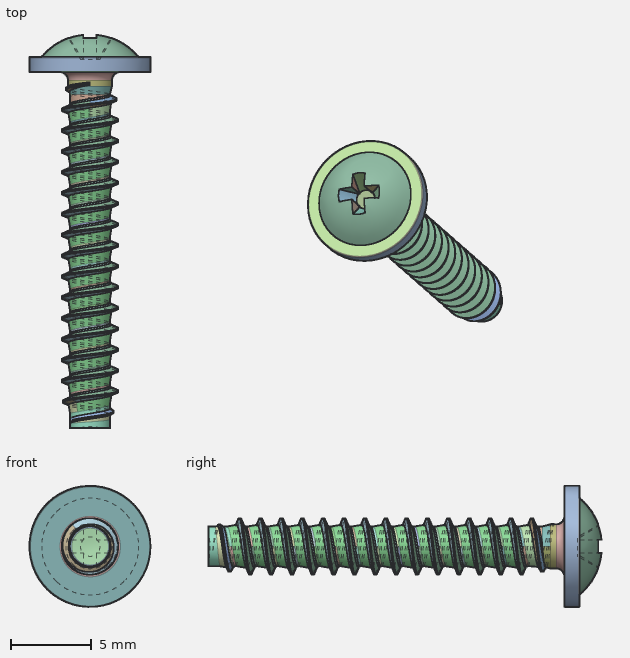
import cadquery as cq
import math


head_height = 2.31
flange_radius = 3.75
flange_thickness = 0.95
flange_edge_round = 0.06
dome_base_radius = 3.0
dome_sphere_radius = 3.91

recess_wing_width = 0.8
recess_wing_length = 1.45
recess_tip_radius = 0.6
recess_depth = 1.5

shank_length = 22.0
collar_radius = 1.37
underhead_fillet = 0.5
collar_length = 0.87
collar_taper_length = 0.5
core_radius = 1.24
tip_dimple_radius = 1.14
tip_dimple_depth = 0.1

pitch = 1.29
crest_radius = 1.75
crest_half_width = 0.05
root_radius = 1.225
lead_shoulder_radius = 1.29
lead_shoulder_offset = 0.24
lead_toe_offset = 0.39
trail_shoulder_radius = 1.34
trail_shoulder_offset = 0.21
trail_toe_offset = 0.88
thread_full_top = -2.0
thread_full_bottom = -20.2
top_fade_turns = 1.0
bottom_fade_turns = 1.2
bottom_end_crest_radius = 1.237
top_end_crest_radius = 1.41
sunk_shoulder_radius = 1.23
bottom_trail_scale = 0.25


def head():
    """Flange disc carrying a spherical dome."""
    flange = cq.Workplane("XY").circle(flange_radius).extrude(flange_thickness)
    flange = flange.faces("|Z").edges().fillet(flange_edge_round)

    center_height = flange_thickness - math.sqrt(dome_sphere_radius**2 - dome_base_radius**2)
    dome = (
        cq.Workplane("XY")
        .sphere(dome_sphere_radius)
        .translate((0, 0, center_height))
    )
    keep = (
        cq.Workplane("XY")
        .workplane(offset=flange_thickness / 2)
        .circle(dome_base_radius)
        .extrude(head_height)
    )
    return flange.union(dome.intersect(keep))


def cross_recess():
    """Four-winged recess whose wings taper inward towards the bottom."""
    wing_span = 2 * recess_wing_length
    clearance = 1.0
    floor = head_height - recess_depth
    height = recess_depth + clearance
    wing = cq.Workplane("XY").workplane(offset=floor).rect(wing_span, recess_wing_width).extrude(height)
    cross = wing.union(wing.rotate((0, 0, 0), (0, 0, 1), 90))
    taper = (
        cq.Workplane("XZ")
        .moveTo(0, floor)
        .lineTo(recess_tip_radius, floor)
        .lineTo(recess_wing_length, head_height)
        .lineTo(recess_wing_length, floor + height)
        .lineTo(0, floor + height)
        .close()
        .revolve(360, (0, 0, 0), (0, 1, 0))
    )
    return cross.intersect(taper)


def shank():
    """Core with a collar, a concave fillet under the head and a shallow conical dimple in the tip."""
    overlap = flange_thickness / 2
    fillet_radius = collar_radius + underhead_fillet
    fillet_middle = underhead_fillet * (1 - math.sqrt(0.5))
    return (
        cq.Workplane("XZ")
        .moveTo(0, overlap)
        .lineTo(fillet_radius, overlap)
        .lineTo(fillet_radius, 0)
        .threePointArc(
            (collar_radius + fillet_middle, -fillet_middle),
            (collar_radius, -underhead_fillet),
        )
        .lineTo(collar_radius, -collar_length)
        .lineTo(core_radius, -collar_length - collar_taper_length)
        .lineTo(core_radius, -shank_length)
        .lineTo(tip_dimple_radius, -shank_length)
        .lineTo(0, -shank_length + tip_dimple_depth)
        .close()
        .revolve(360, (0, 0, 0), (0, 1, 0))
    )


def full_profile():
    """Full thread corners as (radius, height above the crest line), from tip side to head side."""
    return [
        (root_radius, -trail_toe_offset),
        (trail_shoulder_radius, -trail_shoulder_offset),
        (crest_radius, -crest_half_width),
        (crest_radius, crest_half_width),
        (lead_shoulder_radius, lead_shoulder_offset),
        (root_radius, lead_toe_offset),
    ]


def faded_profile(end_crest_radius, trail_scale):
    """The same corners with sunk shoulders, a lower crest and the tip side narrowed by a factor."""
    return [
        (root_radius, -trail_toe_offset * trail_scale),
        (sunk_shoulder_radius, -trail_shoulder_offset * trail_scale),
        (end_crest_radius, -crest_half_width * trail_scale),
        (end_crest_radius, crest_half_width),
        (sunk_shoulder_radius, lead_shoulder_offset),
        (root_radius, lead_toe_offset),
    ]


def spiral(start_radius, end_radius, height, turns):
    """Helix starting at Z = 0 whose radius changes evenly over its height."""
    rise = height / turns
    if start_radius == end_radius:
        return cq.Wire.makeHelix(rise, height, start_radius)
    slope = math.atan2(end_radius - start_radius, height)
    slant = 1 / math.cos(slope)
    return cq.Wire.makeHelix(rise * slant, height * slant, start_radius, angle=math.degrees(slope))


def thread_segment(start_profile, end_profile, bottom, turns):
    """Helical solid whose profile changes evenly from start to end."""
    helices = []
    for (start_radius, start_offset), (end_radius, end_offset) in zip(start_profile, end_profile):
        height = turns * pitch + end_offset - start_offset
        helix = spiral(start_radius, end_radius, height, turns)
        helices.append(helix.translate(cq.Vector(0, 0, start_offset)))

    count = len(helices)
    faces = [cq.Face.makeRuledSurface(helices[i], helices[(i + 1) % count]) for i in range(count)]
    for end in (0, 1):
        corners = [helix.positionAt(end) for helix in helices]
        faces.append(cq.Face.makeFromWires(cq.Wire.makePolygon(corners, close=True)))
    solid = cq.Solid.makeSolid(cq.Shell.makeShell(faces))

    phase = 360 * (bottom - thread_full_top) / pitch - 90
    solid = solid.rotate(cq.Vector(), cq.Vector(0, 0, 1), phase)
    return cq.Workplane("XY").newObject([solid.translate(cq.Vector(0, 0, bottom))])


def thread():
    """Full thread with a run-out at each end."""
    full = full_profile()
    full_turns = (thread_full_top - thread_full_bottom) / pitch
    fade_bottom = thread_full_bottom - bottom_fade_turns * pitch
    bottom_end = faded_profile(bottom_end_crest_radius, bottom_trail_scale)
    top_end = faded_profile(top_end_crest_radius, 1)
    return [
        thread_segment(bottom_end, full, fade_bottom, bottom_fade_turns),
        thread_segment(full, full, thread_full_bottom, full_turns),
        thread_segment(full, top_end, thread_full_top, top_fade_turns),
    ]


body = head().union(shank()).cut(cross_recess())
for segment in thread():
    body = body.union(segment)

result = body.rotate((0, 0, 0), (1, 0, 0), -90).solids()